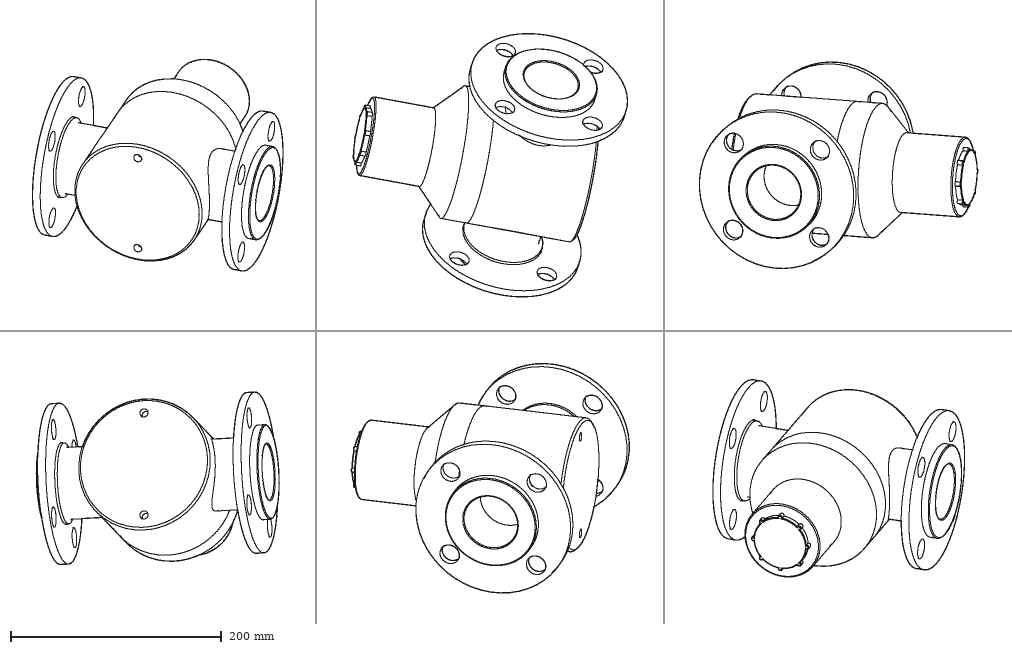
import cadquery as cq


BODY_DIA = 128.0
HOUSING_BOTTOM_Y = -57.3
HOUSING_TOP_Y = 45.5
HOUSING_CHAMFER = 2.1
FACE_HOLE_DIA = 7.8
FACE_HOLE_OFFSET = 50.0
FACE_HOLE_DEPTH = 9.5

CONE_START_Y = 70.0
BONNET_TOP_Y = 155.5
NECK_DIA = 76.0
CONE_LENGTH = (BODY_DIA - NECK_DIA) / 2
BONNET_CHAMFER = 1.2

CAP_TOP_Y = 161.1
CAP_DIA = 53.0
CAP_CHAMFER = 0.7
CAP_RIB_COUNT = 8
CAP_RIB_RADIUS = 2.1
CAP_RIB_PITCH_RADIUS = 26.9

PORT_SPAN = 216.0
COLLAR_FACE_X = PORT_SPAN / 2
COLLAR_DIA = 90.0
COLLAR_CHAMFER = 1.0
HUB_DIA = 77.0
HUB_END_X = 89.0
HUB_FILLET = 3.0
PIPE_DIA = 68.5
BORE_DIA = 53.0
BORE_CHAMFER = 1.0
PIPE_SEAT_X = 52.3

FLANGE_DIA = 153.0
FLANGE_BORE_DIA = 78.0
FLANGE_FACE_X = 99.0
FLANGE_THICKNESS = 7.8
FLANGE_GAP = 1.0
BOLT_HOLE_DIA = 19.0
BOLT_CIRCLE_DIA = 120.7
BOLT_COUNT = 4
BOLT_START_ANGLE = 44.5

SIDES = (-1, 1)


def y_cylinder(diameter, start_y, end_y):
    """Cylinder on the housing axis between two Y positions."""
    base = cq.Workplane("XZ", origin=(0, start_y, 0))
    return base.circle(diameter / 2).extrude(start_y - end_y)


def x_cylinder(diameter, start_x, end_x):
    """Cylinder on the port axis between two X positions."""
    base = cq.Workplane("YZ", origin=(start_x, 0, 0))
    return base.circle(diameter / 2).extrude(end_x - start_x)


def on_side(body, side):
    """Body built on the +X side, turned about Z to the -X side when side is -1."""
    return body if side > 0 else body.rotate((0, 0, 0), (0, 0, 1), 180)


def make_housing():
    """Solid barrel with a seat for each pipe and two small holes in its end face."""
    housing = y_cylinder(BODY_DIA, HOUSING_BOTTOM_Y, HOUSING_TOP_Y)
    housing = housing.faces("<Y").chamfer(HOUSING_CHAMFER)
    for side in SIDES:
        housing = housing.cut(x_cylinder(PIPE_DIA, side * PIPE_SEAT_X, side * COLLAR_FACE_X))
    holes = (
        cq.Workplane("XZ", origin=(0, HOUSING_BOTTOM_Y, 0))
        .pushPoints([(0, FACE_HOLE_OFFSET), (0, -FACE_HOLE_OFFSET)])
        .circle(FACE_HOLE_DIA / 2)
        .extrude(-FACE_HOLE_DEPTH)
    )
    return housing.cut(holes)


def make_bonnet():
    """Straight ring, 45 degree cone and narrow neck, turned about the Y axis."""
    body_radius = BODY_DIA / 2
    neck_radius = NECK_DIA / 2
    profile = (
        cq.Workplane("XY")
        .moveTo(0, HOUSING_TOP_Y)
        .lineTo(body_radius, HOUSING_TOP_Y)
        .lineTo(body_radius, CONE_START_Y)
        .lineTo(neck_radius, CONE_START_Y + CONE_LENGTH)
        .lineTo(neck_radius, BONNET_TOP_Y)
        .lineTo(0, BONNET_TOP_Y)
        .close()
    )
    bonnet = profile.revolve(360, (0, 0, 0), (0, 1, 0))
    return bonnet.faces(">Y").chamfer(BONNET_CHAMFER)


def make_cap():
    """Disc with round grip ribs around its rim, all with a chamfered top edge."""
    ribs = (
        cq.Workplane("XZ", origin=(0, BONNET_TOP_Y, 0))
        .polarArray(CAP_RIB_PITCH_RADIUS, 0, 360, CAP_RIB_COUNT)
        .circle(CAP_RIB_RADIUS)
        .extrude(BONNET_TOP_Y - CAP_TOP_Y)
    )
    disc = y_cylinder(CAP_DIA, BONNET_TOP_Y, CAP_TOP_Y)
    chamfered_ribs = ribs.faces(">Y").chamfer(CAP_CHAMFER)
    chamfered_disc = disc.faces(">Y").chamfer(CAP_CHAMFER)
    return chamfered_disc.union(chamfered_ribs)


def make_stub(side):
    """Bored pipe whose collar and hub hold a loose flange."""
    pipe_radius = PIPE_DIA / 2
    hub_radius = HUB_DIA / 2
    collar_radius = COLLAR_DIA / 2
    collar_back_x = FLANGE_FACE_X + FLANGE_GAP
    profile = (
        cq.Workplane("XY")
        .moveTo(PIPE_SEAT_X, 0)
        .lineTo(PIPE_SEAT_X, pipe_radius)
        .lineTo(HUB_END_X - HUB_FILLET, pipe_radius)
        .radiusArc((HUB_END_X, pipe_radius + HUB_FILLET), -HUB_FILLET)
        .lineTo(HUB_END_X, hub_radius)
        .lineTo(collar_back_x, hub_radius)
        .lineTo(collar_back_x, collar_radius)
        .lineTo(COLLAR_FACE_X, collar_radius)
        .lineTo(COLLAR_FACE_X, 0)
        .close()
    )
    stub = profile.revolve(360, (0, 0, 0), (1, 0, 0))
    stub = stub.faces(">X").chamfer(COLLAR_CHAMFER)
    stub = stub.cut(x_cylinder(BORE_DIA, PIPE_SEAT_X, COLLAR_FACE_X))
    bore_rim = cq.selectors.RadiusNthSelector(0)
    stub = stub.faces(">X").edges(bore_rim).chamfer(BORE_CHAMFER)
    return on_side(stub, side)


def make_flange(side):
    """Flat ring with a bolt circle, loose around the stub's hub."""
    flange = x_cylinder(FLANGE_DIA, FLANGE_FACE_X - FLANGE_THICKNESS, FLANGE_FACE_X)
    flange = (
        flange.faces(">X")
        .workplane(origin=(FLANGE_FACE_X, 0, 0))
        .hole(FLANGE_BORE_DIA)
        .faces(">X")
        .workplane(origin=(FLANGE_FACE_X, 0, 0))
        .polarArray(BOLT_CIRCLE_DIA / 2, BOLT_START_ANGLE, 360, BOLT_COUNT)
        .hole(BOLT_HOLE_DIA)
    )
    return on_side(flange, side)


housing = make_housing()
bonnet = make_bonnet()
cap = make_cap()
stubs = [make_stub(side) for side in SIDES]
flanges = [make_flange(side) for side in SIDES]

result = cq.Compound.makeCompound(
    [
        housing.val(),
        bonnet.val(),
        cap.val(),
        *[stub.val() for stub in stubs],
        *[flange.val() for flange in flanges],
    ]
)